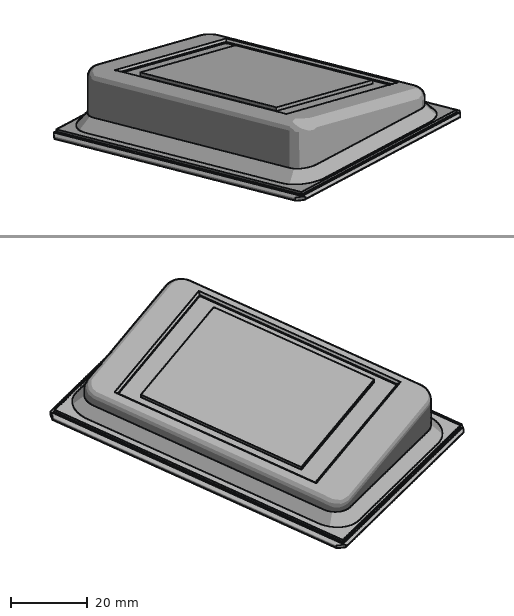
import cadquery as cq

tilt_angle = 10.0
plate_width = 90.8
plate_length = 63.5
plate_thickness = 1.0
plate_end_round = 0.3
plate_corner_chamfer = 2.0
plate_center_z = 5.45
step_inset_x = 1.3
step_inset_y = 1.9
step_width = plate_width - 2 * step_inset_x
step_length = plate_length - 2 * step_inset_y
step_height = 1.0
step_foot_bevel = 0.32
flange_thickness = plate_thickness + step_height

block_width = 80.6
block_length = 49.0
block_center_y = -0.4
block_top_z = 19.2
block_corner_radius = 5.0
block_top_fillet = 3.0
block_foot_chamfer = 3.0

window_width = 60.5
window_length = 40.9
window_rim_bevel = 0.6

board_thickness = 1.0
screen_width = 49.1
screen_length = 36.4
screen_thickness = 1.0
board_top_z = block_top_z - screen_thickness
board_bottom_z = board_top_z - board_thickness


def tilt_up(shape):
    """Tilt a shape from the level flange up towards +Y and lift it to its height."""
    return shape.rotate((0, 0, 0), (1, 0, 0), tilt_angle).translate((0, 0, plate_center_z))


def tilt_down(shape):
    """Undo tilt_up: bring an upright shape into the space where the flange is level."""
    return shape.translate((0, 0, -plate_center_z)).rotate((0, 0, 0), (1, 0, 0), -tilt_angle)


def slab(width, length, bottom_z, thickness):
    """Rectangular slab centred on the Z axis."""
    return cq.Workplane("XY", origin=(0, 0, bottom_z)).rect(width, length).extrude(thickness)


def centre_on_block(shape):
    """Move a shape from the Z axis to the middle of the block."""
    return shape.translate((0, block_center_y, 0))


def make_plate():
    """Plate with fully round sides, slightly rounded front and back ends and cut-off corners."""
    round_sides = (
        cq.Workplane("XZ", origin=(0, 0, plate_thickness / 2))
        .slot2D(plate_width, plate_thickness)
        .extrude(plate_length / 2, both=True)
    )
    blank = slab(plate_width, plate_length, 0, plate_thickness)
    round_ends = blank.edges("|X").fillet(plate_end_round)
    cut_corners = blank.edges("|Z").chamfer(plate_corner_chamfer)
    return round_sides.intersect(round_ends).intersect(cut_corners)


def make_step():
    """Step on the plate, with a small bevel around its foot."""
    foot = (
        cq.Workplane("XY", origin=(0, 0, plate_thickness))
        .rect(step_width + 2 * step_foot_bevel, step_length + 2 * step_foot_bevel)
        .extrude(step_foot_bevel, taper=45)
    )
    return slab(step_width, step_length, plate_thickness, step_height).union(foot)


def make_block():
    """Upright block with rounded corners, cut off at the flange, in the level-flange space."""
    upright = slab(block_width, block_length, 0, block_top_z).edges("|Z").fillet(block_corner_radius)
    above_plate = slab(plate_width, plate_length, plate_thickness, 2 * block_top_z)
    return tilt_down(centre_on_block(upright)).intersect(above_plate)


def make_housing():
    """Flange and block as one solid, with the window recess in its top."""
    body = make_plate().union(make_step()).union(make_block())

    margin = step_height / 4
    foot_zone = cq.selectors.BoxSelector(
        (-step_width / 2 + margin, -step_length / 2 + margin, flange_thickness - margin),
        (step_width / 2 - margin, step_length / 2 - margin, flange_thickness + margin),
    )
    body = tilt_up(body.edges(foot_zone).chamfer(block_foot_chamfer))
    body = body.faces(">Z").edges().fillet(block_top_fillet)

    return body.cut(make_window())


def make_window():
    """Space of the window recess, widening through the rim bevel at the block's top."""
    recess = slab(window_width, window_length, board_bottom_z, block_top_z - board_bottom_z)
    rim = (
        cq.Workplane("XY", origin=(0, 0, block_top_z))
        .rect(window_width + 2 * window_rim_bevel, window_length + 2 * window_rim_bevel)
        .extrude(-window_rim_bevel, taper=45)
    )
    return centre_on_block(recess.union(rim))


def make_display():
    """Board with the raised screen, lying on the floor of the window recess."""
    board = slab(window_width, window_length, board_bottom_z, board_thickness)
    screen = slab(screen_width, screen_length, board_top_z, screen_thickness)
    return centre_on_block(board.union(screen))


housing = make_housing()
display = make_display()
result = cq.Compound.makeCompound([housing.val(), display.val()])